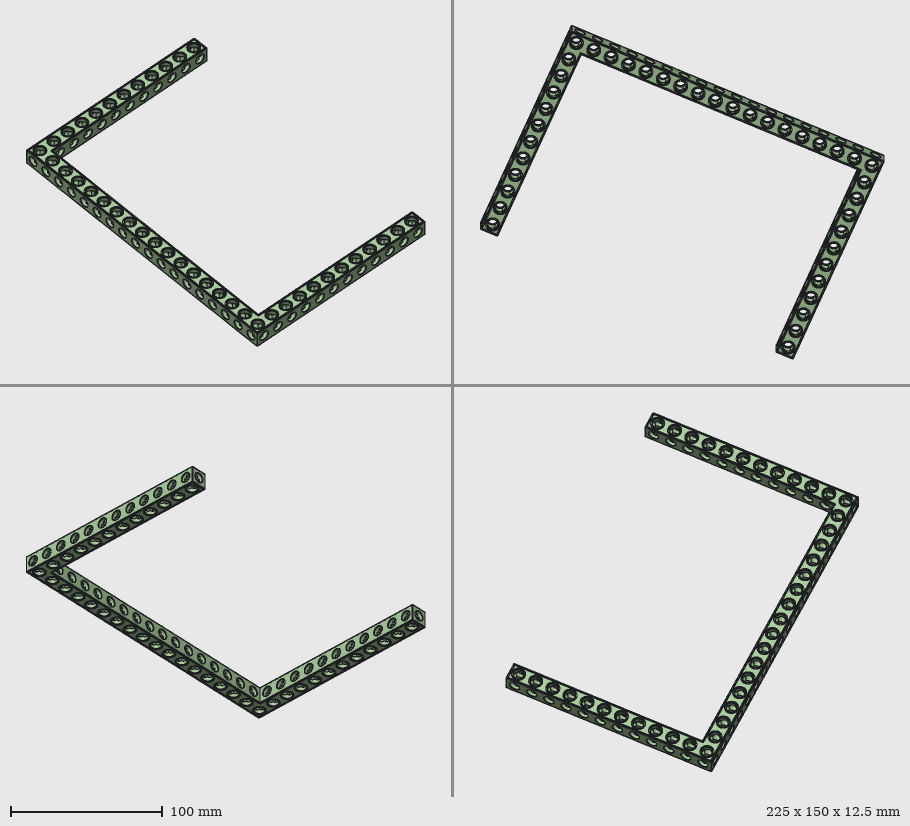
import cadquery as cq

pitch = 12.5
base_count = 18
arm_count = 12
length = base_count * pitch
depth = arm_count * pitch
height = pitch

hole_diameter = 7.0
bevel = 0.3
wall = 0.8
pocket_depth = 0.2

mouth_diameter = hole_diameter + 2 * bevel
ring_diameter = mouth_diameter + 2 * wall

columns = [(column + 0.5) * pitch for column in range(base_count)]
rows = [(row + 0.5) * pitch for row in range(arm_count)]
cell_centres = [(x, rows[0]) for x in columns]
cell_centres += [(x, y) for x in (columns[0], columns[-1]) for y in rows[1:]]

X_AXIS = cq.Vector(1, 0, 0)
Y_AXIS = cq.Vector(0, 1, 0)
Z_AXIS = cq.Vector(0, 0, 1)


def u_outline(inset):
    """Corners of the U frame's plan outline, moved inward by the inset."""
    inner = pitch - inset
    tip = depth - inset
    return [
        (inset, inset),
        (length - inset, inset),
        (length - inset, tip),
        (length - inner, tip),
        (length - inner, inner),
        (inner, inner),
        (inner, tip),
        (inset, tip),
    ]


def frame_blank():
    """U-shaped bar with bevelled edges, sharp only at the two inside corners."""
    bar = cq.Workplane("XY").polyline(u_outline(0)).close().extrude(height)
    inside_corners = cq.selectors.BoxSelector(
        (pitch / 2, pitch / 2, 0), (length - pitch / 2, 2 * pitch, height)
    )
    bar = bar.edges("|Z").edges(cq.selectors.InverseSelector(inside_corners)).chamfer(bevel)
    return bar.faces("|Z").edges().chamfer(bevel)


def pocket_layer():
    """Thin U inside the edge rims, with a disc spared around every vertical hole."""
    layer = cq.Workplane("XY").polyline(u_outline(bevel + wall)).close().extrude(pocket_depth)
    rings = (
        cq.Workplane("XY")
        .pushPoints(cell_centres)
        .circle(ring_diameter / 2)
        .extrude(pocket_depth)
    )
    return layer.cut(rings)


def bevelled_hole(start, axis, span):
    """Cutters for one straight hole of the given span, bevelled at both mouths."""
    end = start + axis * span
    return [
        cq.Solid.makeCylinder(hole_diameter / 2, span, start, axis),
        cq.Solid.makeCone(mouth_diameter / 2, hole_diameter / 2, bevel, start, axis),
        cq.Solid.makeCone(mouth_diameter / 2, hole_diameter / 2, bevel, end, axis * -1),
    ]


def vertical_holes():
    """One hole along Z in every cell."""
    cutters = []
    for x, y in cell_centres:
        cutters += bevelled_hole(cq.Vector(x, y, 0), Z_AXIS, height)
    return cutters


def lengthwise_holes():
    """Holes along Y: across the base bar, and down the full length of each arm."""
    cutters = []
    for x in columns:
        span = depth if x in (columns[0], columns[-1]) else pitch
        cutters += bevelled_hole(cq.Vector(x, 0, height / 2), Y_AXIS, span)
    return cutters


def crosswise_holes():
    """Holes along X: down the full length of the base bar, and across both arms."""
    cutters = bevelled_hole(cq.Vector(0, rows[0], height / 2), X_AXIS, length)
    for y in rows[1:]:
        for x in (0, length - pitch):
            cutters += bevelled_hole(cq.Vector(x, y, height / 2), X_AXIS, pitch)
    return cutters


pockets = pocket_layer()
frame = frame_blank().cut(pockets).cut(pockets.translate((0, 0, height - pocket_depth)))
drilled = frame.val().cut(*vertical_holes(), *lengthwise_holes(), *crosswise_holes())
result = cq.Workplane("XY").newObject([drilled])